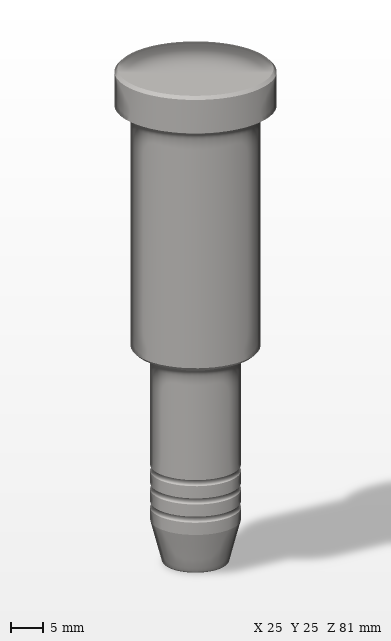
import math

import cadquery as cq

total_length = 81.0

head_radius = 12.5
head_height = 6.0
head_chamfer = 0.5

body_radius = 10.0
body_bottom_depth = 46.0
body_chamfer = 0.5

shaft_radius = 7.0
neck_width = 1.0
neck_depth = 0.5

groove_radius = 0.5
first_shaft_groove_depth = 65.0
shaft_groove_pitch = 3.0
shaft_groove_count = 3

taper_length = 7.0
taper_angle = 15.0
tip_edge_radius = 0.5
tip_radius = shaft_radius - taper_length * math.tan(math.radians(taper_angle))


def cylinder(radius, upper_depth, lower_depth):
    """Vertical cylinder between two depths below the head's top face, which is at Z = 0."""
    return cq.Workplane("XY").workplane(offset=-lower_depth).circle(radius).extrude(lower_depth - upper_depth)


def make_head():
    return cylinder(head_radius, 0, head_height).faces(">Z").chamfer(head_chamfer)


def make_body():
    return cylinder(body_radius, head_height, body_bottom_depth).faces("<Z").chamfer(body_chamfer)


def make_shaft():
    """Undercut neck, straight shaft and tapered tip with a rounded end edge."""
    neck_bottom_depth = body_bottom_depth + neck_width
    taper_start_depth = total_length - taper_length
    neck = cylinder(shaft_radius - neck_depth, body_bottom_depth, neck_bottom_depth)
    straight = cylinder(shaft_radius, neck_bottom_depth, taper_start_depth)
    tip = (
        cq.Workplane("XY")
        .workplane(offset=-taper_start_depth)
        .circle(shaft_radius)
        .workplane(offset=-taper_length)
        .circle(tip_radius)
        .loft(ruled=True)
        .faces("<Z")
        .edges()
        .fillet(tip_edge_radius)
    )
    return neck.union(straight).union(tip)


def groove_cutter(radius, upper_depth):
    """Half-round ring that cuts a groove into a cylinder of the given radius."""
    return (
        cq.Workplane("XZ")
        .moveTo(radius, -upper_depth)
        .threePointArc(
            (radius - groove_radius, -upper_depth - groove_radius),
            (radius, -upper_depth - 2 * groove_radius),
        )
        .close()
        .revolve(360, (0, 0, 0), (0, 1, 0))
    )


result = make_head().union(make_body()).union(make_shaft())

result = result.cut(groove_cutter(body_radius, head_height))

for index in range(shaft_groove_count):
    groove_top_depth = first_shaft_groove_depth + index * shaft_groove_pitch
    result = result.cut(groove_cutter(shaft_radius, groove_top_depth))